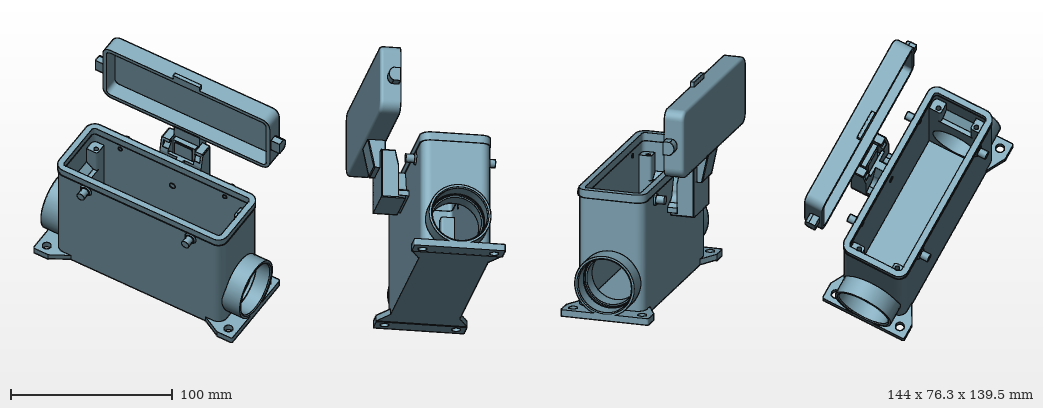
import cadquery as cq
body_x = 121.0
body_y = 43.5
body_corner = 6.0
body_bottom = 0.6
housing_top = 80.0
rim_height = 5.3
rim_overhang = 0.5
mouth_wall = 4.0
mouth_corner = 2.2
undercut = 0.3
cavity_corner = 2.9
floor_top = 4.9

rim_x = body_x + 2 * rim_overhang
rim_y = body_y + 2 * rim_overhang
rim_bottom = housing_top - rim_height
mouth_x = rim_x - 2 * mouth_wall
mouth_y = rim_y - 2 * mouth_wall
cavity_x = mouth_x + 2 * undercut
cavity_y = mouth_y + 2 * undercut
body_front = body_y / 2

post_x = 7.5
post_y = 7.8
post_top = 67.7
post_corner = 1.5
post_hole_diameter = 2.9
post_hole_inset = 4.9
post_hole_depth = 14.4
ledge_flat = 2.9
ledge_top = 55.6
ledge_drop = 4.0

length = 144.0
foot_y = 57.0
foot_height = 4.3
foot_corner = 1.2
foot_shoulder_x = 61.0
foot_inner_x = 48.8
foot_hole_diameter = 5.5
foot_hole_x = 65.8
foot_hole_y = 22.5

port_z = 22.5
port_diameter = 38.9
port_bore = 34.5
port_bore_depth = 10.2
port_step_bore = 33.4
port_step_depth = 12.4
port_through = 31.4
port_lead_in = 0.7

peg_x = 37.9
peg_z = 70.7
peg_diameter = 5.2
peg_tip_y = 28.1
collar_base_diameter = 8.0
collar_top_diameter = 6.6
collar_height = 1.0
peg_mark_diameter = 2.9

bracket_x = 30.0
bracket_front = 28.2
bracket_back = 39.0
bracket_bottom = 53.1
bracket_top = 84.7
cheek_top_front = 30.4
lip_front = 23.9
lip_height = 1.7
seat_z = 74.6
arm_x = 18.5
cheek_groove_bottom = 77.6
cheek_groove_lip = 29.1
cheek_groove_back = 32.4
cheek_groove_bend = 81.0
cheek_groove_top = 82.5
cheek_skin = 1.6
mount_peak_x = 2.5
mount_neck_x = 5.3
mount_neck_z = 66.1
mount_shoulder_x = 10.8
mount_shoulder_z = 60.2
mount_edge_z = 58.2
mount_flank_sag = 1.2
mount_inset = 0.3
mount_bottom = bracket_bottom + lip_height
bracket_edge = 0.6
slot_front = 30.2
slot_bottom = 67.7
rivet_mark_diameter = 4.0
rivet_mark_z = 58.8
mark_depth = 0.5

lid_x = 121.0
lid_bottom = 92.7
lid_top = 136.4
lid_front = 35.0
lid_back = 47.8
lid_corner = 5.8
lid_low_corner = 6.6
lid_wall = 2.6
lid_back_round = 2.2
tab_x = 19.2
tab_top = 139.5
tab_thickness = 2.5
ear_tip_x = 66.8
ear_z = 114.6
ear_height = 8.5
ear_front = 36.5
ear_round_start = 40.8
ear_back = 43.5
arm_front = 35.5
arm_root_back = 46.5
arm_tip_back = 42.6
arm_edge = 0.6
knuckle_x = 16.1
knuckle_front = 32.3
knuckle_top = 84.0
knuckle_pad_x = 12.4
knuckle_pad_top = 83.2
knuckle_pad_height = 0.9
knuckle_pad_corner = 0.9


def box(x_range, y_range, z_range):
    """Block spanning the three given ranges."""
    size = [high - low for low, high in (x_range, y_range, z_range)]
    corner = (x_range[0], y_range[0], z_range[0])
    return cq.Workplane("XY").box(*size, centered=False).translate(corner)


def upright_block(x_size, y_size, corner, bottom, top):
    """Centred block with rounded vertical edges."""
    block = cq.Workplane("XY").workplane(offset=bottom).rect(x_size, y_size).extrude(top - bottom)
    return block.edges("|Z").fillet(corner)


def along_y(x, z, diameter, y_start, y_end):
    """Round rod with its axis along Y."""
    profile = cq.Workplane("XZ", origin=(x, y_start, z)).circle(diameter / 2)
    return profile.extrude(y_start - y_end)


def both_ends(feature):
    """The feature at the +X end together with its mirror image at the -X end."""
    return feature.union(feature.mirror("YZ"))


def make_foot():
    half = foot_y / 2
    outline = [
        (foot_inner_x, -body_front),
        (foot_shoulder_x, -half),
        (length / 2, -half),
        (length / 2, half),
        (foot_shoulder_x, half),
        (foot_inner_x, body_front),
    ]
    foot = cq.Workplane("XY").polyline(outline).close().extrude(foot_height)
    foot = foot.edges("|Z and >X").fillet(foot_corner)
    foot = foot.cut(box((0, foot_shoulder_x), (-half, half), (0, body_bottom)))
    holes = [(foot_hole_x, -foot_hole_y), (foot_hole_x, foot_hole_y)]
    return foot.cut(cq.Workplane("XY").pushPoints(holes).circle(foot_hole_diameter / 2).extrude(foot_height))


def port_rod(diameter, start_x, end_x):
    plane = cq.Workplane("YZ", origin=(start_x, 0, port_z))
    return plane.circle(diameter / 2).extrude(end_x - start_x)


def make_port_bore():
    end = length / 2
    lead_in = cq.Workplane("YZ", origin=(end, 0, port_z)).circle(port_bore / 2 + port_lead_in)
    lead_in = lead_in.workplane(offset=-port_lead_in).circle(port_bore / 2).loft(combine=True)
    through = port_rod(port_through, mouth_x / 2 - post_x, end)
    step = port_rod(port_step_bore, end - port_step_depth, end)
    return through.union(step).union(port_rod(port_bore, end - port_bore_depth, end)).union(lead_in)


def make_end_fittings():
    """Two posts and the sloped ledge between them, at the +X end of the cavity."""
    inner_x = mouth_x / 2 - post_x
    wall_x = cavity_x / 2
    slope_x = inner_x + ledge_flat
    profile = [
        (inner_x, floor_top),
        (wall_x, floor_top),
        (wall_x, ledge_top),
        (slope_x, ledge_top - ledge_drop),
        (inner_x, ledge_top - ledge_drop),
    ]
    fittings = cq.Workplane("XZ").polyline(profile).close().extrude(cavity_y / 2, both=True)
    inner_y = mouth_y / 2 - post_y
    for side in (-1, 1):
        post = box((inner_x, wall_x), (inner_y, cavity_y / 2), (floor_top, post_top))
        post = post.edges("|Z and <X and <Y").fillet(post_corner)
        hole_y = mouth_y / 2 - post_hole_inset
        hole_x = mouth_x / 2 - post_hole_inset
        hole = cq.Workplane("XY", origin=(hole_x, hole_y, post_top)).circle(post_hole_diameter / 2)
        post = post.cut(hole.extrude(-post_hole_depth))
        fittings = fittings.union(post if side > 0 else post.mirror("XZ"))
    return fittings.intersect(upright_block(body_x, body_y, body_corner, body_bottom, housing_top))


def make_peg(x, side):
    base_y = side * body_front
    peg = along_y(x, peg_z, peg_diameter, base_y, side * peg_tip_y)
    collar = cq.Solid.makeCone(
        collar_base_diameter / 2,
        collar_top_diameter / 2,
        collar_height,
        cq.Vector(x, base_y, peg_z),
        cq.Vector(0, side, 0),
    )
    return peg.union(cq.Workplane(collar))


def make_hinge_mount():
    """Bell shaped pad between the back wall and the bracket."""
    edge_x = bracket_x / 2 - mount_inset
    flank_x = (mount_neck_x + mount_shoulder_x) / 2 - mount_flank_sag
    flank_z = (mount_neck_z + mount_shoulder_z) / 2 - mount_flank_sag
    outline = (
        cq.Workplane("XZ", origin=(0, bracket_front, 0))
        .moveTo(-mount_peak_x, seat_z)
        .lineTo(mount_peak_x, seat_z)
        .lineTo(mount_neck_x, mount_neck_z)
        .threePointArc((flank_x, flank_z), (mount_shoulder_x, mount_shoulder_z))
        .lineTo(edge_x, mount_edge_z)
        .lineTo(edge_x, mount_bottom)
        .lineTo(-edge_x, mount_bottom)
        .lineTo(-edge_x, mount_edge_z)
        .lineTo(-mount_shoulder_x, mount_shoulder_z)
        .threePointArc((-flank_x, flank_z), (-mount_neck_x, mount_neck_z))
        .close()
    )
    return outline.extrude(bracket_front - body_front)


def make_bracket():
    profile = [
        (lip_front, bracket_bottom),
        (bracket_back, bracket_bottom),
        (bracket_back, bracket_top),
        (cheek_top_front, bracket_top),
        (bracket_front, seat_z),
        (bracket_front, mount_bottom),
        (lip_front, mount_bottom),
    ]
    bracket = cq.Workplane("YZ").polyline(profile).close().extrude(bracket_x / 2, both=True)
    bracket = bracket.faces(">X or <X").edges(">Y or >Z or <Z").chamfer(bracket_edge)
    arm_half = arm_x / 2
    bracket = bracket.cut(box((-arm_half, arm_half), (lip_front, bracket_back), (seat_z, bracket_top)))
    bracket = bracket.cut(box((-arm_half, arm_half), (slot_front, arm_front), (slot_bottom, seat_z)))
    groove_profile = [
        (bracket_front, cheek_groove_bottom),
        (cheek_groove_lip, cheek_groove_bottom),
        (cheek_groove_back, cheek_groove_bend),
        (cheek_groove_back, cheek_groove_top),
        (bracket_front, cheek_groove_top),
    ]
    groove = cq.Workplane("YZ", origin=(arm_half, 0, 0)).polyline(groove_profile).close()
    groove = groove.extrude(bracket_x / 2 - cheek_skin - arm_half)
    return bracket.cut(both_ends(groove))


def make_housing():
    shell = upright_block(body_x, body_y, body_corner, body_bottom, housing_top)
    shell = shell.union(upright_block(rim_x, rim_y, body_corner + rim_overhang, rim_bottom, housing_top))
    shell = shell.union(both_ends(make_foot()))
    shell = shell.union(both_ends(port_rod(port_diameter, mouth_x / 2, length / 2)))
    shell = shell.cut(upright_block(mouth_x, mouth_y, mouth_corner, rim_bottom, housing_top))
    shell = shell.cut(upright_block(cavity_x, cavity_y, cavity_corner, floor_top, rim_bottom))
    shell = shell.union(both_ends(make_end_fittings()))
    shell = shell.cut(both_ends(make_port_bore()))
    wall_y = cavity_y / 2
    for x in (-peg_x, peg_x):
        for side in (-1, 1):
            shell = shell.union(make_peg(x, side))
            mark = along_y(x, peg_z, peg_mark_diameter, side * wall_y, side * (wall_y + mark_depth))
            shell = shell.cut(mark)
    shell = shell.union(make_hinge_mount()).union(make_bracket())
    return shell.cut(along_y(0, rivet_mark_z, rivet_mark_diameter, wall_y, wall_y + mark_depth))


def make_lid_ear():
    half = ear_height / 2
    outline = (
        cq.Workplane("YZ", origin=(lid_x / 2, 0, ear_z))
        .moveTo(ear_front, -half)
        .lineTo(ear_round_start, -half)
        .threePointArc((ear_back, 0), (ear_round_start, half))
        .lineTo(ear_front, half)
        .close()
    )
    return outline.extrude(ear_tip_x - lid_x / 2)


def make_lid_arm():
    """Arm that hangs from the lid and ends in a knuckle between the bracket cheeks."""
    profile = [
        (arm_front, lid_bottom + lid_wall),
        (arm_root_back, lid_bottom + lid_wall),
        (arm_root_back, lid_bottom),
        (arm_tip_back, seat_z),
        (arm_front, seat_z),
    ]
    arm = cq.Workplane("YZ").polyline(profile).close().extrude(arm_x / 2, both=True)
    sloped_back = cq.selectors.BoxSelector(
        (-arm_x, arm_tip_back - arm_edge, seat_z - arm_edge),
        (arm_x, arm_root_back, lid_bottom),
    )
    arm = arm.edges(sloped_back).edges("#X or |X").chamfer(arm_edge)
    knuckle_half = knuckle_x / 2
    arm = arm.union(box((-knuckle_half, knuckle_half), (knuckle_front, arm_front), (slot_bottom, knuckle_top)))
    half = knuckle_pad_x / 2
    pad = box((-half, half), (knuckle_front - knuckle_pad_height, knuckle_front), (slot_bottom, knuckle_pad_top))
    return arm.union(pad.edges("|Y and >Z").fillet(knuckle_pad_corner))


def make_lid():
    height = lid_top - lid_bottom
    middle_z = (lid_top + lid_bottom) / 2
    lid = cq.Workplane("XZ", origin=(0, lid_back, middle_z)).rect(lid_x, height).extrude(lid_back - lid_front)
    lid = lid.edges("|Y and >Z").fillet(lid_corner).edges("|Y and <Z").fillet(lid_low_corner)
    lid = lid.faces(">Y").edges().fillet(lid_back_round)
    pocket = cq.Workplane("XZ", origin=(0, lid_back - lid_wall, middle_z))
    pocket = pocket.rect(lid_x - 2 * lid_wall, height - 2 * lid_wall).extrude(lid_back - lid_wall - lid_front)
    pocket = pocket.edges("|Y").fillet(lid_corner - lid_wall)
    tab = box((-tab_x / 2, tab_x / 2), (lid_front, lid_front + tab_thickness), (lid_top - lid_wall, tab_top))
    lid = lid.union(both_ends(make_lid_ear())).union(tab).union(make_lid_arm())
    return lid.cut(pocket)


housing = make_housing()
lid = make_lid()
result = cq.Compound.makeCompound([housing.val(), lid.val()])